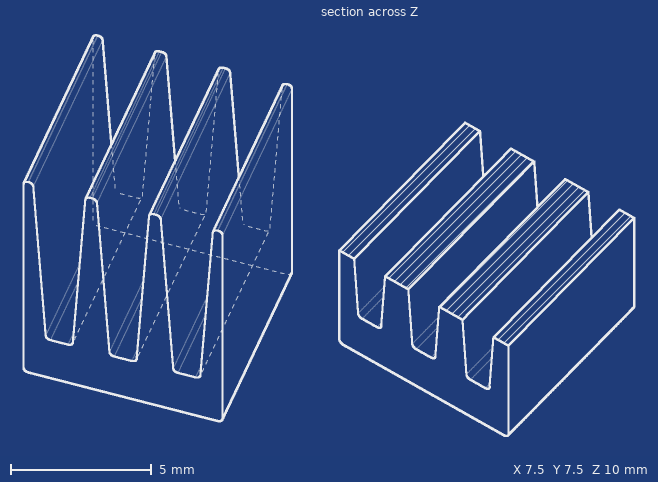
import cadquery as cq
import math

width = 7.5
length = 7.5
height = 10.0

base_thickness = 2.0
slot_count = 3
slot_pitch = 2.4
slot_floor_width = 1.0
slot_draft = 3.5

fin_radius = 0.18
base_radius = 0.2

slot_depth = height - base_thickness
slot_floor_half = slot_floor_width / 2
slot_mouth_half = slot_floor_half + slot_depth * math.tan(math.radians(slot_draft))


def make_block():
    """Plain block centred in X and Y, standing on Z = 0."""
    return cq.Workplane("XY").box(width, length, height, centered=(True, True, False))


def make_slot(center_x):
    """Tapered slot through the full length, wider at its mouth."""
    return (
        cq.Workplane("XZ")
        .moveTo(center_x - slot_floor_half, base_thickness)
        .lineTo(center_x + slot_floor_half, base_thickness)
        .lineTo(center_x + slot_mouth_half, height)
        .lineTo(center_x - slot_mouth_half, height)
        .close()
        .extrude(length / 2, both=True)
    )


def make_heatsink():
    """Block with slots cut into it and its lengthwise edges rounded."""
    body = make_block()
    for index in range(slot_count):
        center_x = (index - (slot_count - 1) / 2) * slot_pitch
        body = body.cut(make_slot(center_x))

    base_level = base_thickness / 2
    lengthwise = body.edges("|Y").vals()
    bottom_edges = [edge for edge in lengthwise if edge.Center().z < base_level]
    fin_edges = [edge for edge in lengthwise if edge.Center().z > base_level]

    body = body.newObject(fin_edges).fillet(fin_radius)
    return body.newObject(bottom_edges).fillet(base_radius)


result = make_heatsink()